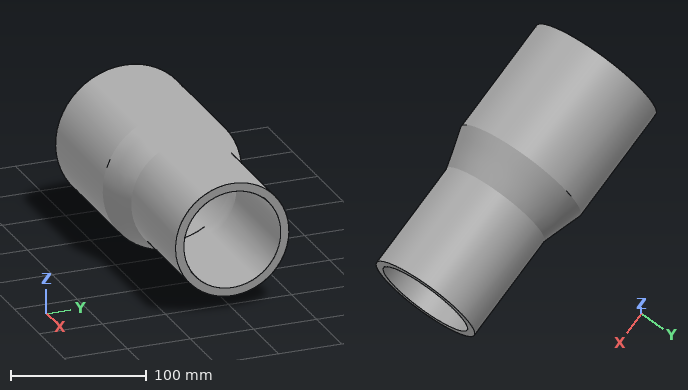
import cadquery as cq

large_outer_diameter = 110.0
large_inner_diameter = 96.8
small_outer_diameter = 90.0
small_inner_diameter = 76.8

total_length = 215.0
large_length = 95.0
small_length = 88.0
taper_end = total_length - small_length


def stepped_cone(large_diameter, small_diameter):
    """Solid of revolution: large cylinder, conical taper, small cylinder."""
    large_radius = large_diameter / 2
    small_radius = small_diameter / 2
    half_profile = [
        (0, 0),
        (0, large_radius),
        (large_length, large_radius),
        (taper_end, small_radius),
        (total_length, small_radius),
        (total_length, 0),
    ]
    return (
        cq.Workplane("XZ")
        .polyline(half_profile)
        .close()
        .revolve(360, (0, 0, 0), (1, 0, 0))
    )


body = stepped_cone(large_outer_diameter, small_outer_diameter)
bore = stepped_cone(large_inner_diameter, small_inner_diameter)

result = body.cut(bore)